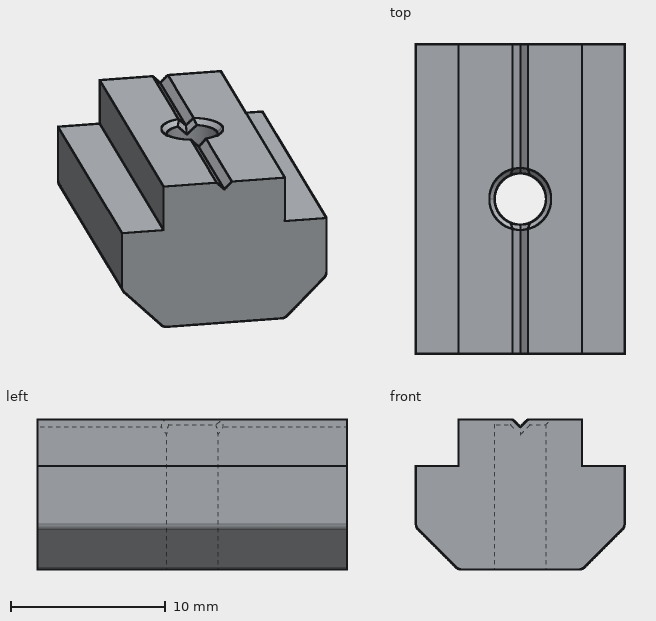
import cadquery as cq

length = 20.0
body_width = 13.5
height = 9.7

neck_width = 8.0
neck_height = 3.0
bevel = (body_width - neck_width) / 2
bevel_edge_radius = 0.5

groove_width = 1.0
groove_depth = groove_width / 2

hole_diameter = 3.3
rim_diameter = 4.0
rim_chamfer = (rim_diameter - hole_diameter) / 2


def make_body():
    """Extrude the T profile along Y, centred on the origin, and round the bevel edges."""
    half_body = body_width / 2
    half_neck = neck_width / 2
    shoulder_z = height - neck_height
    body = (
        cq.Workplane("XZ")
        .moveTo(half_body - bevel, 0)
        .lineTo(half_body, bevel)
        .lineTo(half_body, shoulder_z)
        .lineTo(half_neck, shoulder_z)
        .lineTo(half_neck, height)
        .lineTo(groove_width / 2, height)
        .lineTo(0, height - groove_depth)
        .lineTo(-groove_width / 2, height)
        .lineTo(-half_neck, height)
        .lineTo(-half_neck, shoulder_z)
        .lineTo(-half_body, shoulder_z)
        .lineTo(-half_body, bevel)
        .lineTo(bevel - half_body, 0)
        .close()
        .extrude(length / 2, both=True)
    )
    below_bevel = cq.selectors.BoxSelector(
        (-body_width, -length, -bevel), (body_width, length, bevel + bevel_edge_radius)
    )
    return body.edges("|Y").edges(below_bevel).fillet(bevel_edge_radius)


def cut_hole(body):
    """Drill the hole through the middle and chamfer its top rim, following the V groove."""
    drilled = (
        body.copyWorkplane(cq.Workplane("XY", origin=(0, 0, height)))
        .hole(hole_diameter)
    )
    around_rim = cq.selectors.BoxSelector(
        (-hole_diameter, -hole_diameter, height - 2 * groove_depth),
        (hole_diameter, hole_diameter, height + groove_depth),
    )
    return drilled.edges(around_rim).chamfer(rim_chamfer)


result = cut_hole(make_body())